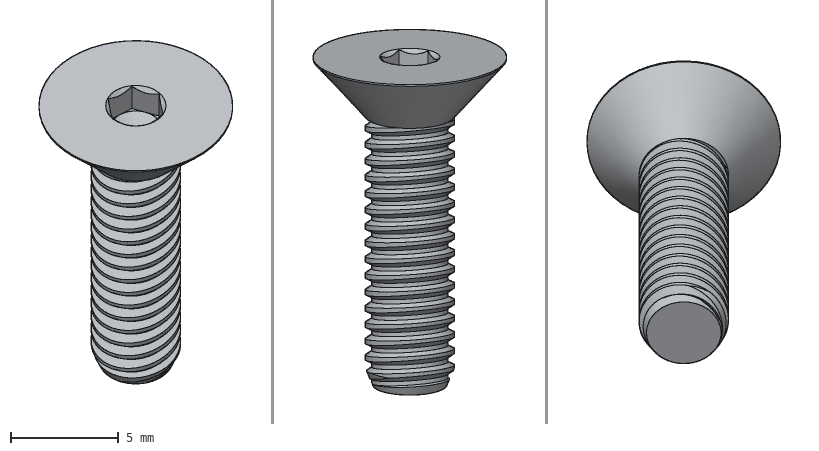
import cadquery as cq
import math

total_length = 15.88
head_diameter = 9.0
rim_height = 0.08
head_height = 2.85
shank_radius = 2.08

groove_pitch = 0.8
groove_depth = 0.3
groove_root_width = groove_pitch / 4
flank_half_angle = 30.0
groove_count = 17
first_groove_height = 0.29

tip_radius = 1.73
tip_chamfer_height = 0.85

socket_width = 2.38
socket_depth = 1.41
socket_mouth_radius = 1.4
socket_mouth_depth = 0.2
drill_point_end_radius = 0.38
drill_point_angle = 118.0

head_radius = head_diameter / 2
root_radius = shank_radius - groove_depth
head_base = total_length - head_height
groove_tilt = math.degrees(math.atan(groove_pitch / (2 * shank_radius)))
socket_floor = total_length - socket_depth


def revolve_profile(points):
    """Revolve a closed (radius, height) outline around the Z axis."""
    axis_start = (0, 0, 0)
    axis_end = (0, 1, 0)
    return cq.Workplane("XZ").polyline(points).close().revolve(360, axis_start, axis_end)


def make_shank():
    """Plain shank with a conical tip."""
    return revolve_profile([
        (0, 0),
        (tip_radius, 0),
        (shank_radius, tip_chamfer_height),
        (shank_radius, head_base),
        (0, head_base),
    ])


def make_groove(height):
    """Tilted V-groove cutter with a flat root, centred on the axis at the given height."""
    reach = 0.32
    outer_radius = shank_radius + reach
    root_half = groove_root_width / 2
    flank_rise = (groove_depth + reach) * math.tan(math.radians(flank_half_angle))
    ring = revolve_profile([
        (root_radius, -root_half),
        (outer_radius, -root_half - flank_rise),
        (outer_radius, root_half + flank_rise),
        (root_radius, root_half),
    ])
    return ring.rotate((0, 0, 0), (1, 0, 0), groove_tilt).translate((0, 0, height))


def make_head():
    """Countersunk head with a thin cylindrical rim."""
    return revolve_profile([
        (0, head_base),
        (shank_radius, head_base),
        (head_radius, total_length - rim_height),
        (head_radius, total_length),
        (0, total_length),
    ])


def make_socket():
    """Hexagonal socket with flats facing +X and -X, a chamfered mouth and a drill point."""
    across_corners = socket_width / math.cos(math.radians(30))
    hexagon = (
        cq.Workplane("XY", origin=(0, 0, socket_floor))
        .transformed(rotate=(0, 0, 90))
        .polygon(6, across_corners)
        .extrude(socket_depth)
    )
    mouth = revolve_profile([
        (0, total_length),
        (socket_mouth_radius, total_length),
        (socket_width / 2, total_length - socket_mouth_depth),
        (0, total_length - socket_mouth_depth),
    ])
    drill_radius = socket_width / 2
    drill_taper = math.radians(drill_point_angle / 2)
    drill_point_depth = (drill_radius - drill_point_end_radius) / math.tan(drill_taper)
    drill_point = revolve_profile([
        (0, socket_floor),
        (drill_radius, socket_floor),
        (drill_point_end_radius, socket_floor - drill_point_depth),
        (0, socket_floor - drill_point_depth),
    ])
    return hexagon.union(mouth).union(drill_point)


shank = make_shank()
for index in range(groove_count):
    shank = shank.cut(make_groove(first_groove_height + index * groove_pitch))

result = shank.union(make_head()).cut(make_socket())